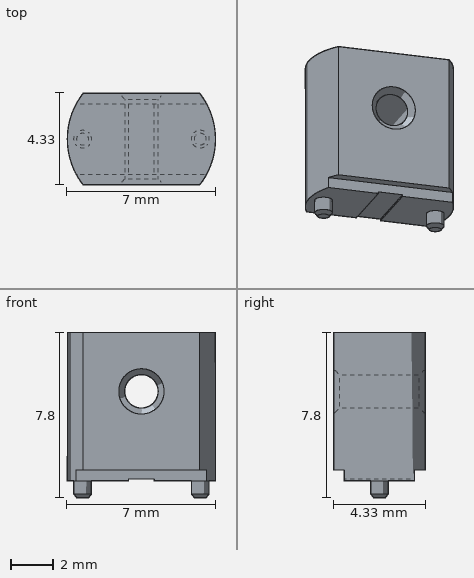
import cadquery as cq

body_diameter = 7.0
body_height = 7.0
width_across_flats = 4.33

step_height = 0.5
step_depth = 0.5

groove_width = 1.2
groove_depth = 0.08

hole_diameter = 1.567
hole_height = 4.22
countersink_diameter = 2.14
countersink_depth = (countersink_diameter - hole_diameter) / 2

pin_diameter = 0.84
pin_length = 0.8
pin_chamfer_height = 0.18
pin_chamfer_inset = 0.14
pin_spacing = 5.55


def make_body():
    """Round bar trimmed to the width across its flats."""
    bar = cq.Workplane("XY").circle(body_diameter / 2).extrude(body_height)
    flats = cq.Workplane("XY").box(
        body_diameter, width_across_flats, body_height, centered=(True, True, False)
    )
    return bar.intersect(flats)


def make_edge_step(side):
    """Block that notches the bottom edge of the flat on one side (-1 or +1 in Y)."""
    center_y = side * (width_across_flats - step_depth) / 2
    return (
        cq.Workplane("XY")
        .center(0, center_y)
        .rect(body_diameter, step_depth)
        .extrude(step_height)
    )


def make_groove():
    """Full-width groove in the underside."""
    return cq.Workplane("XY").rect(groove_width, width_across_flats).extrude(groove_depth)


def make_cross_hole():
    """Revolved through hole with a conical countersink at each end."""
    half_width = width_across_flats / 2
    hole_radius = hole_diameter / 2
    countersink_radius = countersink_diameter / 2
    countersink_floor = half_width - countersink_depth
    return (
        cq.Workplane("XY")
        .moveTo(0, -half_width)
        .lineTo(countersink_radius, -half_width)
        .lineTo(hole_radius, -countersink_floor)
        .lineTo(hole_radius, countersink_floor)
        .lineTo(countersink_radius, half_width)
        .lineTo(0, half_width)
        .close()
        .revolve(360, (0, 0), (0, 1))
        .translate((0, 0, hole_height))
    )


def make_pin(side):
    """Pin with a chamfered tip at one end of the body (-1 or +1 in X)."""
    pin_radius = pin_diameter / 2
    return (
        cq.Workplane("XZ")
        .lineTo(pin_radius, 0)
        .lineTo(pin_radius, pin_chamfer_height - pin_length)
        .lineTo(pin_radius - pin_chamfer_inset, -pin_length)
        .lineTo(0, -pin_length)
        .close()
        .revolve(360, (0, 0), (0, 1))
        .translate((side * pin_spacing / 2, 0, 0))
    )


result = make_body().cut(make_groove()).cut(make_cross_hole())
for side in (-1, 1):
    result = result.cut(make_edge_step(side)).union(make_pin(side))